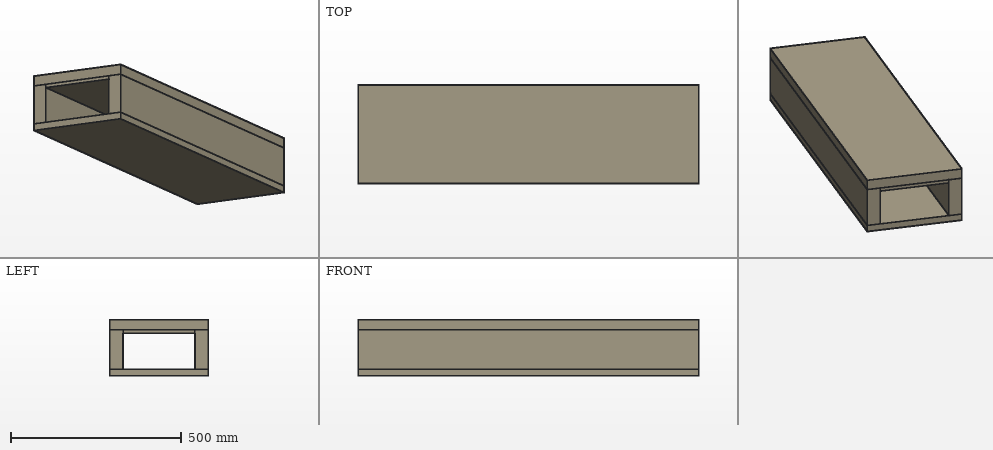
import cadquery as cq

LENGTH = 1000.0
WIDTH = 290.0
HEIGHT = 165.0

TOP_THICKNESS = 30.0
BOTTOM_THICKNESS = 20.0
SIDE_THICKNESS = 40.0
LINER_THICKNESS = 10.0

INNER_WIDTH = WIDTH - 2 * SIDE_THICKNESS
SIDE_HEIGHT = HEIGHT - TOP_THICKNESS - BOTTOM_THICKNESS

TOP_UNDERSIDE = HEIGHT - TOP_THICKNESS
SIDE_OFFSET = (INNER_WIDTH + SIDE_THICKNESS) / 2


def board(width, thickness, center_y, base_z):
    """Full-length rectangular board standing on the level base_z."""
    return (
        cq.Workplane("XY")
        .box(LENGTH, width, thickness, centered=(True, True, False))
        .translate((0, center_y, base_z))
    )


def bottom_board():
    """Full-width floor of the box."""
    return board(WIDTH, BOTTOM_THICKNESS, 0, 0)


def side_board(side):
    """Upright wall between the floor and the top board; side is -1 or 1 along Y."""
    return board(SIDE_THICKNESS, SIDE_HEIGHT, side * SIDE_OFFSET, BOTTOM_THICKNESS)


def top_board():
    """Full-width lid resting on both walls."""
    return board(WIDTH, TOP_THICKNESS, 0, TOP_UNDERSIDE)


def liner_board():
    """Thin board under the lid, filling the width between the walls."""
    return board(INNER_WIDTH, LINER_THICKNESS, 0, TOP_UNDERSIDE - LINER_THICKNESS)


bottom = bottom_board()
sides = [side_board(side) for side in (-1, 1)]
top = top_board()
liner = liner_board()

result = cq.Compound.makeCompound(
    [
        bottom.val(),
        *[side.val() for side in sides],
        top.val(),
        liner.val(),
    ]
)